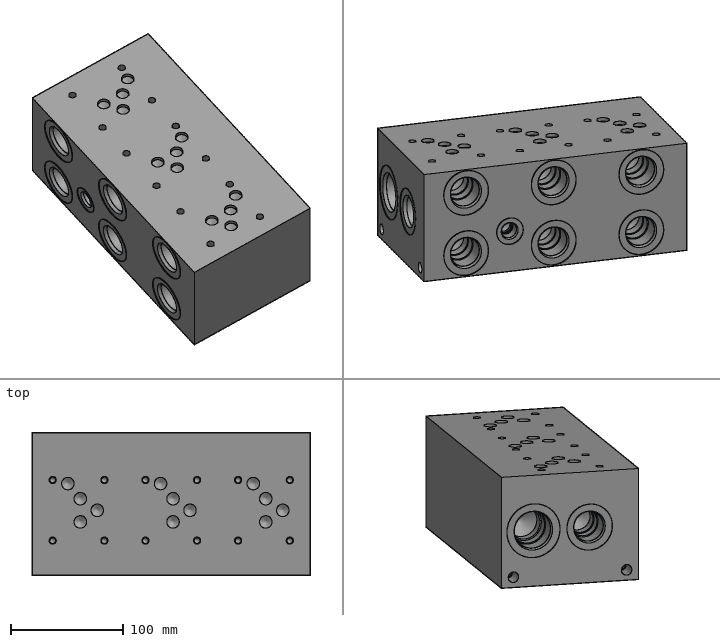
import cadquery as cq
import math

LENGTH = 247.65
WIDTH = 127.0
HEIGHT = 101.6
LEFT_FACE = -LENGTH / 2
FRONT_FACE = -WIDTH / 2
TOP_FACE = HEIGHT / 2
BOTTOM_FACE = -HEIGHT / 2

DRILL_POINT_ANGLE = 118.0
SEAT_HALF_ANGLE = 15.0
SPOT_FACE_DEPTH = 0.79
LARGE_PORT = dict(spot_face=49.12, seat=33.76, seat_depth=3.3, thread=33.34, thread_depth=19.7,
                  bore=31.27, bore_depth=30.0, drill=28.57, drill_depth=40.0)
MEDIUM_PORT = dict(spot_face=42.04, seat=27.43, seat_depth=3.3, thread=26.99, thread_depth=20.3,
                   bore=24.92, bore_depth=30.0, drill=23.01, drill_depth=40.0)
GAUGE_PORT = dict(spot_face=24.92, seat=14.35, seat_depth=2.5, thread=14.29, thread_depth=12.7,
                  bore=12.9, bore_depth=15.0, drill=12.3, drill_depth=18.0)

STATION_PITCH = 82.55
STATION_CENTRES = [i * STATION_PITCH for i in (-1, 0, 1)]

WORK_PORT_OFFSET_X = -1.5875
WORK_PORT_OFFSET_Z = 28.575
GAUGE_PORT_X = WORK_PORT_OFFSET_X - STATION_PITCH / 2
GAUGE_PORT_Z = -12.7

TANK_PORT_Y = 33.75
PRESSURE_PORT_Y = -18.2

BOLT_SPACING_X = 46.0
BOLT_SPACING_Y = 54.0
PATTERN_CENTRE_Y = -5.56
FLOW_HOLES = [(13.5, 3.2), (24.6, 16.7), (39.7, 27.0), (24.6, 37.3)]
FLOW_DIAMETER = 11.11
FLOW_DEPTH = 3.3

VALVE_BOLT = dict(thread=6.35, thread_depth=12.7, drill=5.11, drill_depth=16.0)
MOUNTING_BOLT = dict(thread=9.53, thread_depth=19.05, drill=7.92, drill_depth=24.0)
MOUNTING_Y = 52.39
MOUNTING_HEIGHT = 9.525
MOUNTING_Z = BOTTOM_FACE + MOUNTING_HEIGHT


def point_height(diameter):
    """Height of the conical drill point of a hole."""
    return diameter / 2 / math.tan(math.radians(DRILL_POINT_ANGLE / 2))


def turned_cutter(steps, position, inward):
    """Solid of revolution from (radius, depth) steps, entering at position along inward."""
    profile = cq.Workplane("XZ").polyline([(0, 0)] + steps).close()
    cutter = profile.revolve(360, (0, 0, 0), (0, 1, 0)).val()
    return cutter.moved(cq.Plane(origin=position, normal=inward).location)


def drilled_steps(diameter, start, depth):
    """Steps of a drilled bore from start to depth, closed by its conical point."""
    radius = diameter / 2
    return [(radius, start), (radius, depth), (0, depth + point_height(diameter))]


def port_steps(size):
    seat_end = SPOT_FACE_DEPTH + size["seat_depth"]
    seat_radius = size["seat"] / 2
    mouth_radius = seat_radius + size["seat_depth"] * math.tan(math.radians(SEAT_HALF_ANGLE))
    spot_radius = size["spot_face"] / 2
    thread_radius = size["thread"] / 2
    bore_radius = size["bore"] / 2
    return [
        (spot_radius, 0),
        (spot_radius, SPOT_FACE_DEPTH),
        (mouth_radius, SPOT_FACE_DEPTH),
        (seat_radius, seat_end),
        (thread_radius, seat_end),
        (thread_radius, size["thread_depth"]),
        (bore_radius, size["thread_depth"]),
        (bore_radius, size["bore_depth"]),
    ] + drilled_steps(size["drill"], size["bore_depth"], size["drill_depth"])


def tapped_steps(size):
    thread_radius = size["thread"] / 2
    return [
        (thread_radius, 0),
        (thread_radius, size["thread_depth"]),
    ] + drilled_steps(size["drill"], size["thread_depth"], size["drill_depth"])


def front_ports():
    inward = (0, 1, 0)
    cutters = [turned_cutter(port_steps(GAUGE_PORT), (GAUGE_PORT_X, FRONT_FACE, GAUGE_PORT_Z), inward)]
    for station_x in STATION_CENTRES:
        for z in (-WORK_PORT_OFFSET_Z, WORK_PORT_OFFSET_Z):
            position = (station_x + WORK_PORT_OFFSET_X, FRONT_FACE, z)
            cutters.append(turned_cutter(port_steps(MEDIUM_PORT), position, inward))
    return cutters


def left_ports():
    inward = (1, 0, 0)
    cutters = [
        turned_cutter(port_steps(LARGE_PORT), (LEFT_FACE, TANK_PORT_Y, 0), inward),
        turned_cutter(port_steps(MEDIUM_PORT), (LEFT_FACE, PRESSURE_PORT_Y, 0), inward),
    ]
    for y in (-MOUNTING_Y, MOUNTING_Y):
        cutters.append(turned_cutter(tapped_steps(MOUNTING_BOLT), (LEFT_FACE, y, MOUNTING_Z), inward))
    return cutters


def valve_station(station_x):
    inward = (0, 0, -1)
    left = station_x - BOLT_SPACING_X / 2
    rear = PATTERN_CENTRE_Y + BOLT_SPACING_Y / 2
    cutters = []
    for x in (left, left + BOLT_SPACING_X):
        for y in (rear, rear - BOLT_SPACING_Y):
            cutters.append(turned_cutter(tapped_steps(VALVE_BOLT), (x, y, TOP_FACE), inward))
    for right_of_bolt, front_of_bolt in FLOW_HOLES:
        position = (left + right_of_bolt, rear - front_of_bolt, TOP_FACE)
        cutters.append(turned_cutter(drilled_steps(FLOW_DIAMETER, 0, FLOW_DEPTH), position, inward))
    return cutters


cutters = front_ports() + left_ports()
for station_x in STATION_CENTRES:
    cutters += valve_station(station_x)

block = cq.Workplane("XY").box(LENGTH, WIDTH, HEIGHT).val()
result = cq.Workplane(block.cut(*cutters))